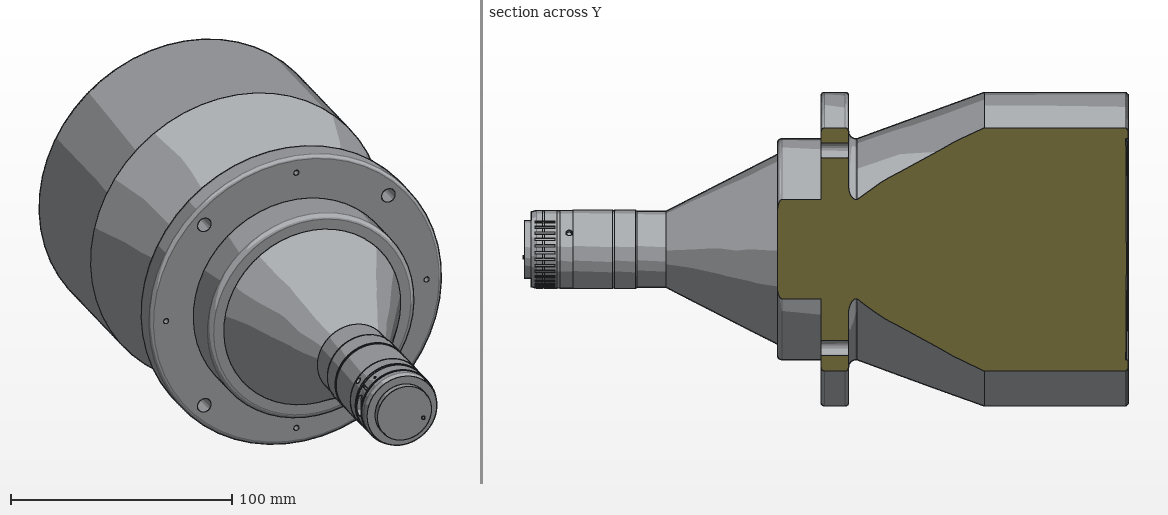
import cadquery as cq
import math

total_length = 273.5
body_diameter = 142.0
body_radius = body_diameter / 2

barrel_end = 65.0
barrel_edge_chamfer = 1.0
lens_radius = 67.0
lens_recess = 1.0
lens_bulge = 0.8

collar_start = 122.5
collar_radius = 50.0
collar_fillet = 3.3

flange_start = 126.5
flange_end = 139.0
flange_fillet = 1.6
hole_circle_radius = 63.2
bolt_hole_diameter = 6.5
small_hole_diameter = 2.5
holes_per_set = 4

hub_end = 158.6
hub_fillet = 2.2
rear_cone_radius = 43.0
rear_cone_end = 209.0
neck_radius = 17.2

tube_start = 222.0
tube_radius = 17.8
mount_start = 251.0
mount_step = 0.15
mount_taper_start = 267.5
mount_end = 270.0
mount_end_radius = 17.0
spigot_radius = 13.0

pin_height = 0.5
pin_radius = 0.8
pin_y = 9.0
pin_z = -3.5
spigot_end = total_length - pin_height

ring_grooves = [(232.2, 233.0), (256.8, 258.2), (264.0, 264.8)]
groove_depth = 0.3

set_screw_x = 252.7
set_screw_diameter = 2.7
set_screw_depth = 2.2
set_screw_count = 3
first_set_screw_angle = 25.0

dimple_x = 261.5
dimple_diameter = 1.0
dimple_depth = 0.8
dimple_angle = 124.0
index_mark_start = 259.0
index_mark_end = 264.0
index_mark_angle = 145.0

slot_x = 261.5
slot_z = 1.6
slot_length = 9.8
slot_width = 4.6
slot_depth = 2.2

grip_start = 259.0
grip_end = 268.0
grip_first_angle = -115.0
grip_last_angle = 45.0
grip_groove_count = 17
axial_groove_width = 1.0
axial_groove_depth = 0.5


def lens_housing():
    """Revolve the full stepped outline about the X axis."""
    mount_radius = tube_radius - mount_step
    chamfer = barrel_edge_chamfer
    lens_crown_x = lens_recess - lens_bulge
    dome_radius = (lens_radius**2 + lens_bulge**2) / (2 * lens_bulge)
    dome_mid_x = lens_crown_x + dome_radius - math.sqrt(dome_radius**2 - (lens_radius / 2) ** 2)

    fillet_centre_x = flange_start - collar_fillet
    fillet_centre_r = collar_radius + collar_fillet
    reach = collar_fillet * math.sin(math.radians(45))
    fillet_mid = (fillet_centre_x + reach, fillet_centre_r - reach)

    outline = (
        cq.Workplane("XZ")
        .moveTo(lens_crown_x, 0)
        .threePointArc((dome_mid_x, lens_radius / 2), (lens_recess, lens_radius))
        .lineTo(0, lens_radius)
        .lineTo(0, body_radius - chamfer)
        .lineTo(chamfer, body_radius)
        .lineTo(barrel_end, body_radius)
        .lineTo(collar_start, collar_radius)
        .lineTo(fillet_centre_x, collar_radius)
        .threePointArc(fillet_mid, (flange_start, fillet_centre_r))
        .lineTo(flange_start, body_radius)
        .lineTo(flange_end, body_radius)
        .lineTo(flange_end, collar_radius)
        .lineTo(hub_end, collar_radius)
        .lineTo(hub_end, rear_cone_radius)
        .lineTo(rear_cone_end, neck_radius)
        .lineTo(tube_start, neck_radius)
        .lineTo(tube_start + tube_radius - neck_radius, tube_radius)
        .lineTo(mount_start, tube_radius)
        .lineTo(mount_start, mount_radius)
        .lineTo(mount_taper_start, mount_radius)
        .lineTo(mount_end, mount_end_radius)
        .lineTo(mount_end, spigot_radius)
        .lineTo(spigot_end, spigot_radius)
        .lineTo(spigot_end, 0)
        .close()
    )
    return outline.revolve(360, (0, 0, 0), (1, 0, 0))


def round_rim(body, x, radius, fillet):
    """Fillet the outer circular edge of the given radius at X = x."""
    margin = 0.03
    rim = cq.selectors.BoxSelector(
        (x - margin, -radius - margin, -radius - margin),
        (x + margin, radius + margin, radius + margin),
        boundingbox=True,
    )
    largest = cq.selectors.LengthNthSelector(-1)
    return body.edges(rim).edges(largest).fillet(fillet)


def flange_holes(diameter, start_angle):
    """Through holes equally spaced on the flange hole circle."""
    return (
        cq.Workplane("YZ", origin=(flange_start, 0, 0))
        .polarArray(hole_circle_radius, start_angle, 360, holes_per_set)
        .circle(diameter / 2)
        .extrude(flange_end - flange_start)
    )


def ring_groove(start, end):
    """Ring of material to remove round the tube between two X places."""
    return (
        cq.Workplane("YZ", origin=(start, 0, 0))
        .circle(body_radius)
        .circle(tube_radius - groove_depth)
        .extrude(end - start)
    )


def radial_hole(x, diameter, depth, angle):
    """Blind hole towards the axis, at an angle from +Y towards +Z."""
    return (
        cq.Workplane("XZ", origin=(x, tube_radius - depth, 0))
        .circle(diameter / 2)
        .extrude(-2 * depth)
        .rotate((0, 0, 0), (1, 0, 0), angle)
    )


def axial_groove(start, end, angle):
    """Groove along the mount surface, at an angle from +Y towards +Z."""
    return (
        cq.Workplane("XY")
        .box(end - start, 2 * axial_groove_depth, axial_groove_width)
        .translate(((start + end) / 2, tube_radius, 0))
        .rotate((0, 0, 0), (1, 0, 0), angle)
    )


def side_slot():
    """Round-ended slot cut into the -Y side of the mount."""
    return (
        cq.Workplane("XZ", origin=(slot_x, slot_depth - tube_radius, slot_z))
        .slot2D(slot_length, slot_width, 90)
        .extrude(2 * slot_depth)
    )


def locating_pin():
    """Pin on the spigot face, rooted one pin height inside it."""
    return (
        cq.Workplane("YZ", origin=(spigot_end - pin_height, pin_y, pin_z))
        .circle(pin_radius)
        .extrude(2 * pin_height)
    )


result = lens_housing()
result = round_rim(result, flange_start, body_radius, flange_fillet)
result = round_rim(result, flange_end, body_radius, flange_fillet)
result = round_rim(result, hub_end, collar_radius, hub_fillet)

hole_step = 360 / holes_per_set
result = result.cut(flange_holes(bolt_hole_diameter, hole_step / 2))
result = result.cut(flange_holes(small_hole_diameter, 0))

for groove_start, groove_end in ring_grooves:
    result = result.cut(ring_groove(groove_start, groove_end))

for i in range(set_screw_count):
    screw_angle = first_set_screw_angle + i * 360 / set_screw_count
    result = result.cut(radial_hole(set_screw_x, set_screw_diameter, set_screw_depth, screw_angle))

result = result.cut(radial_hole(dimple_x, dimple_diameter, dimple_depth, dimple_angle))
result = result.cut(axial_groove(index_mark_start, index_mark_end, index_mark_angle))

result = result.cut(side_slot())

grip_step = (grip_last_angle - grip_first_angle) / (grip_groove_count - 1)
for i in range(grip_groove_count):
    result = result.cut(axial_groove(grip_start, grip_end, grip_first_angle + i * grip_step))

result = result.union(locating_pin())